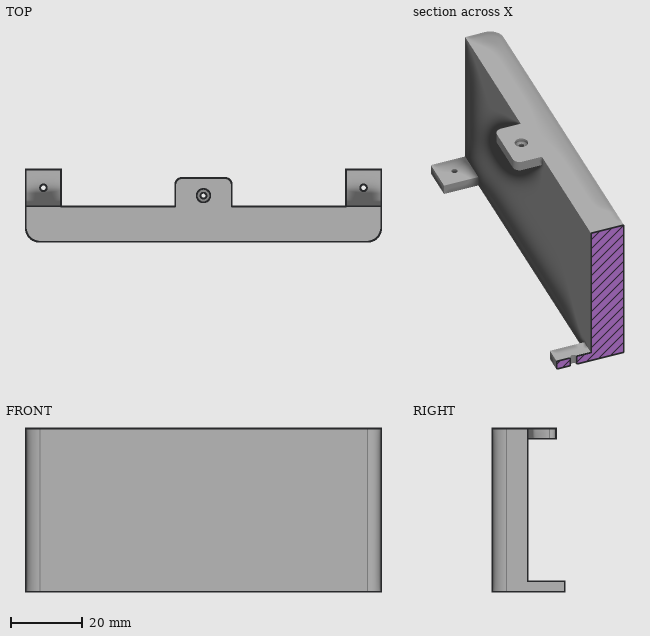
import cadquery as cq

length = 100.0
height = 46.0
panel_depth = 10.0
front_radius = 4.0

tab_thickness = 3.0
foot_width = 10.0
foot_reach = 10.4
foot_hole_diameter = 1.8
top_tab_width = 16.0
top_tab_reach = 8.0
top_tab_radius = 2.0

screw_hole_diameter = 1.6
screw_head_diameter = 3.8
screw_head_depth = 1.0
screw_offset = 3.0


def make_panel():
    """Upright slab with its front face at Y = 0 and rounded front edges."""
    panel = cq.Workplane("XY").box(length, panel_depth, height, centered=(True, False, False))
    return panel.edges("|Z and <Y").fillet(front_radius)


def make_foot(side):
    """Bottom corner tab with a through hole; side is -1 or 1."""
    foot_x = side * (length - foot_width) / 2
    return (
        cq.Workplane("XY")
        .center(foot_x, panel_depth + foot_reach / 2)
        .rect(foot_width, foot_reach)
        .circle(foot_hole_diameter / 2)
        .extrude(tab_thickness)
    )


def make_top_tab():
    """Central tab flush with the top, with rounded rear corners and a screw hole."""
    tab = (
        cq.Workplane("XY")
        .workplane(offset=height - tab_thickness)
        .center(0, panel_depth + top_tab_reach / 2)
        .rect(top_tab_width, top_tab_reach)
        .extrude(tab_thickness)
        .edges("|Z and >Y")
        .fillet(top_tab_radius)
    )
    return (
        tab.faces(">Z")
        .workplane(origin=(0, panel_depth + screw_offset, height))
        .cboreHole(screw_hole_diameter, screw_head_diameter, screw_head_depth)
    )


result = make_panel().union(make_top_tab())
for side in (-1, 1):
    result = result.union(make_foot(side))